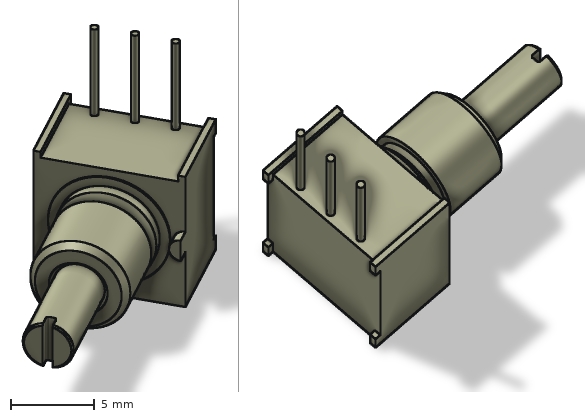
import cadquery as cq

case_size = 9.53
case_depth = 6.31
axis_drop = 0.04
rail_width = 0.45
rail_height = 0.42
foot_depth = 0.4
foot_height = 1.01

pin_diameter = 0.5
pin_pitch = 2.55
pin_setback = 0.98
overall_height = 15.5
middle_pin_extra = 0.05

washer_diameter = 7.65
washer_thickness = 0.1
collar_diameter = 6.37
neck_diameter = 5.28
thread_diameter = 6.27
thread_chamfer = 0.42
bore_diameter = 3.67
countersink_depth = 0.23
shaft_diameter = 3.2
shaft_chamfer = 0.11

collar_end = 7.12
neck_start = 7.5
thread_start = 8.02
bushing_end = 12.78
shaft_end = 19.13

slot_width = 0.63
slot_depth = 0.8
slot_fillet = 0.13

peg_radius = 0.75
peg_length = 0.98

case_bottom = -case_size / 2
case_top = case_size / 2
deck_top = case_top - rail_height


def box(x_range, y_range, z_range):
    """Make a box from its limits along each axis."""
    (x0, x1), (y0, y1), (z0, z1) = x_range, y_range, z_range
    return cq.Workplane("XY").box(x1 - x0, y1 - y0, z1 - z0, centered=False).translate((x0, y0, z0))


def make_case():
    """Block with a rail along each top side edge and a rear foot at each corner."""
    half = case_size / 2
    case = box((-half, half), (-case_depth, -foot_depth), (case_bottom, deck_top))
    for x_range in ((-half, -half + rail_width), (half - rail_width, half)):
        rail = box(x_range, (-case_depth, 0), (case_top - foot_height, case_top))
        lower_foot = box(x_range, (-case_depth, 0), (case_bottom, case_bottom + foot_height))
        case = case.union(rail).union(lower_foot)
    return case


def make_pins():
    """Row of round terminals standing on the deck, the middle one slightly taller."""
    tallest = overall_height - case_size + rail_height
    middle = cq.Workplane("XY", origin=(0, -pin_setback, deck_top)).circle(pin_diameter / 2).extrude(tallest)
    outer = (
        cq.Workplane("XY", origin=(0, -pin_setback, deck_top))
        .pushPoints([(-pin_pitch, 0), (pin_pitch, 0)])
        .circle(pin_diameter / 2)
        .extrude(tallest - middle_pin_extra)
    )
    return middle.union(outer)


def make_bushing_and_shaft():
    """Turned washer, collar, neck, threaded sleeve and shaft, revolved about its own axis."""
    washer_end = case_depth + washer_thickness
    thread_radius = thread_diameter / 2
    shaft_radius = shaft_diameter / 2
    profile = [
        (0, case_depth),
        (washer_diameter / 2, case_depth),
        (washer_diameter / 2, washer_end),
        (collar_diameter / 2, washer_end),
        (collar_diameter / 2, collar_end),
        (neck_diameter / 2, neck_start),
        (neck_diameter / 2, thread_start),
        (thread_radius, thread_start),
        (thread_radius, bushing_end - thread_chamfer),
        (thread_radius - thread_chamfer, bushing_end),
        (bore_diameter / 2, bushing_end),
        (shaft_radius, bushing_end - countersink_depth),
        (shaft_radius, shaft_end - shaft_chamfer),
        (shaft_radius - shaft_chamfer, shaft_end),
        (0, shaft_end),
    ]
    points = [(radius, -distance) for radius, distance in profile]
    return cq.Workplane("XY").polyline(points).close().revolve(360, (0, 0), (0, 1))


def make_slot():
    """Screwdriver slot across the shaft tip, with a rounded floor."""
    half_width = slot_width / 2
    half_length = shaft_diameter / 2
    slot = box(
        (-half_width, half_width),
        (-shaft_end, slot_depth - shaft_end),
        (-half_length, half_length),
    )
    return slot.edges("|Z and >Y").fillet(slot_fillet)


def make_peg():
    """Half-round locating peg, flush with the +X side of the case."""
    return (
        cq.Workplane("XZ", origin=(case_size / 2, -case_depth, 0))
        .moveTo(0, peg_radius)
        .threePointArc((-peg_radius, 0), (0, -peg_radius))
        .close()
        .extrude(peg_length)
    )


turned = make_bushing_and_shaft().cut(make_slot()).translate((0, 0, -axis_drop))
result = make_case().union(turned).union(make_pins()).union(make_peg())